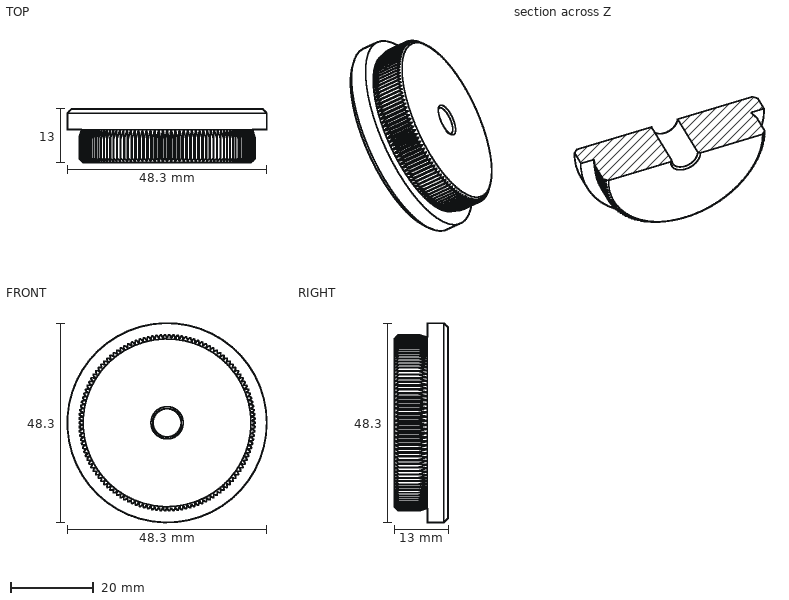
import cadquery as cq
import math

FLANGE_DIAMETER = 48.3
FLANGE_THICKNESS = 5.0
TOTAL_LENGTH = 13.0
FLANGE_CHAMFER = 1.0

SPIGOT_DIAMETER = 42.6
SPIGOT_CHAMFER = 1.0
RELIEF_LENGTH = 2.0
RELIEF_DEPTH = 0.6
TOOTH_COUNT = 130
TOOTH_DEPTH = 0.65
CREST_WIDTH = 0.2

HOLE_DIAMETER = 6.8
HOLE_CHAMFER = 0.5

CREST_ALLOWANCE = 0.1

FLANGE_RADIUS = FLANGE_DIAMETER / 2
SPIGOT_RADIUS = SPIGOT_DIAMETER / 2
SHOULDER_Y = TOTAL_LENGTH - FLANGE_THICKNESS
RELIEF_RADIUS = SPIGOT_RADIUS - RELIEF_DEPTH


def revolve_about_y(points):
    """Turn a closed (radius, y) outline about the Y axis."""
    return cq.Workplane("XY").polyline(points).close().revolve(360, (0, 0, 0), (0, 1, 0))


def make_flange():
    """Disc at the back, chamfered around its rear edge."""
    return revolve_about_y([
        (0, SHOULDER_Y),
        (FLANGE_RADIUS, SHOULDER_Y),
        (FLANGE_RADIUS, TOTAL_LENGTH - FLANGE_CHAMFER),
        (FLANGE_RADIUS - FLANGE_CHAMFER, TOTAL_LENGTH),
        (0, TOTAL_LENGTH),
    ])


def make_turned_spigot():
    """Smooth spigot: front chamfer, straight land, conical relief towards the flange."""
    return revolve_about_y([
        (0, 0),
        (SPIGOT_RADIUS - SPIGOT_CHAMFER, 0),
        (SPIGOT_RADIUS, SPIGOT_CHAMFER),
        (SPIGOT_RADIUS, SHOULDER_Y - RELIEF_LENGTH),
        (RELIEF_RADIUS, SHOULDER_Y),
        (0, SHOULDER_Y),
    ])


def make_toothed_prism():
    """Straight-knurled prism along Y, with a groove centred on +Z."""
    pitch_angle = 2 * math.pi / TOOTH_COUNT
    half_crest = CREST_WIDTH / SPIGOT_RADIUS / 2
    root_radius = SPIGOT_RADIUS - TOOTH_DEPTH
    half_groove = pitch_angle / 2 - half_crest
    flank_spread = half_groove / TOOTH_DEPTH
    crest_radius = SPIGOT_RADIUS + CREST_ALLOWANCE
    raised_half_crest = half_crest - CREST_ALLOWANCE * flank_spread
    outline = []
    for tooth in range(TOOTH_COUNT):
        groove = tooth * pitch_angle
        crest = groove + pitch_angle / 2
        corners = [
            (root_radius, groove),
            (crest_radius, crest - raised_half_crest),
            (crest_radius, crest + raised_half_crest),
        ]
        for radius, angle in corners:
            outline.append((radius * math.sin(angle), radius * math.cos(angle)))
    return cq.Workplane("XZ").polyline(outline).close().extrude(-SHOULDER_Y)


def make_hole_cutter():
    """Through hole with a countersink at the front face."""
    hole_radius = HOLE_DIAMETER / 2
    return revolve_about_y([
        (0, 0),
        (hole_radius + HOLE_CHAMFER, 0),
        (hole_radius, HOLE_CHAMFER),
        (hole_radius, TOTAL_LENGTH),
        (0, TOTAL_LENGTH),
    ])


knurled_spigot = make_turned_spigot().intersect(make_toothed_prism())
result = make_flange().union(knurled_spigot).cut(make_hole_cutter())